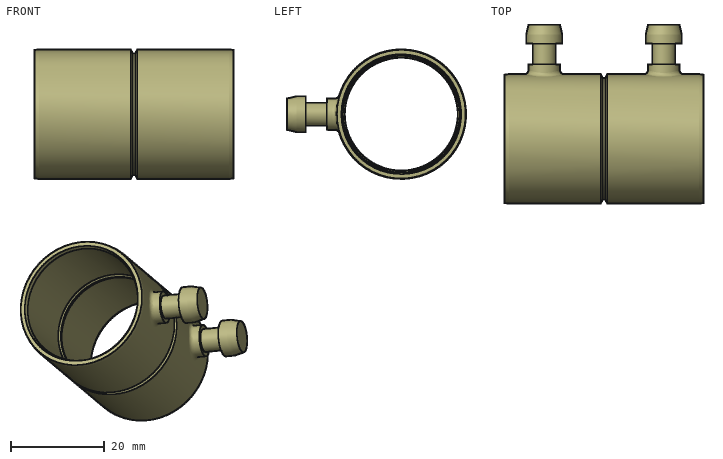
import cadquery as cq

length = 42.8
outer_diameter = 27.9
bore_diameter = 25.1
outer_radius = outer_diameter / 2
bore_radius = bore_diameter / 2
end_taper_length = 0.95
end_taper_depth = 0.13
mouth_taper_depth = 0.35

groove_floor_radius = 26.3 / 2
groove_mouth_width = 1.45
groove_floor_width = 0.6
stop_radius = 24.22 / 2
stop_foot_width = groove_mouth_width
stop_crest_width = groove_floor_width

screw_spacing = 25.7
overall_depth = 38.5
screw_tip_y = overall_depth - outer_radius
head_diameter = 7.8
head_tip_diameter = 6.8
head_rim_height = 1.95
head_taper_height = 2.1
shank_diameter = 5.0
shank_length = 4.5
collar_diameter = 6.8
collar_fillet = 0.85
root_depth = 0.85


def revolve_about_x(points):
    return cq.Workplane("XY").polyline(points).close().revolve(360, (0, 0, 0), (1, 0, 0))


def make_sleeve():
    half = length / 2
    right_outside = [
        (groove_floor_width / 2, groove_floor_radius),
        (groove_mouth_width / 2, outer_radius),
        (half - end_taper_length, outer_radius),
        (half, outer_radius - end_taper_depth),
    ]
    right_inside = [
        (half, bore_radius + mouth_taper_depth),
        (half - end_taper_length, bore_radius),
        (stop_foot_width / 2, bore_radius),
        (stop_crest_width / 2, stop_radius),
    ]
    right_half = right_outside + right_inside
    left_half = [(-x, radius) for x, radius in reversed(right_half)]
    return revolve_about_x(right_half + left_half)


def make_screw(x):
    """Headed screw on a collar that is sunk into the sleeve wall."""
    rim_top = screw_tip_y - head_taper_height
    rim_bottom = rim_top - head_rim_height
    collar_top = rim_bottom - shank_length
    root = outer_radius - root_depth
    profile = [
        (0, root),
        (collar_diameter / 2, root),
        (collar_diameter / 2, collar_top),
        (shank_diameter / 2, collar_top),
        (shank_diameter / 2, rim_bottom),
        (head_diameter / 2, rim_bottom),
        (head_diameter / 2, rim_top),
        (head_tip_diameter / 2, screw_tip_y),
        (0, screw_tip_y),
    ]
    screw = cq.Workplane("XY").polyline(profile).close().revolve(360, (0, 0, 0), (0, 1, 0))
    return screw.translate((x, 0, 0))


def collar_seam(x):
    """Selector box around the curved edge where a collar meets the sleeve."""
    reach = head_diameter / 2
    low_corner = (x - reach, outer_radius - root_depth, -reach)
    high_corner = (x + reach, outer_radius + root_depth / 2, reach)
    return cq.selectors.BoxSelector(low_corner, high_corner)


result = make_sleeve()
for side in (-1, 1):
    screw_x = side * screw_spacing / 2
    result = result.union(make_screw(screw_x))
    result = result.edges(collar_seam(screw_x)).fillet(collar_fillet)